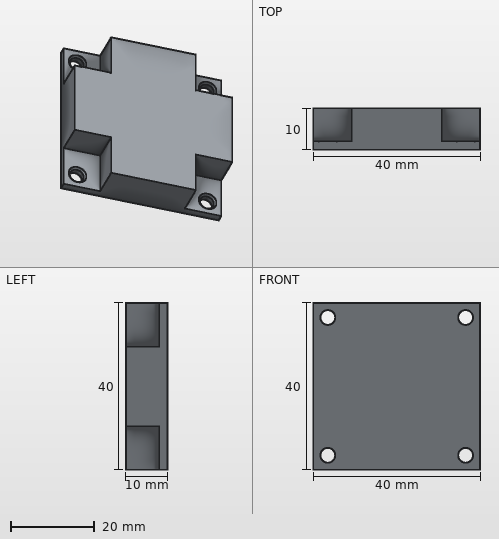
import cadquery as cq

plate_side = 40.0
plate_thickness = 2.0
total_depth = 10.0

upright_width = 21.5
crossbar_height = 19.0

hole_diameter = 3.5
hole_spacing = 33.0
hole_chamfer = 0.5


def block(width, depth, height):
    """Box centred in X and Z, running back from the front face at Y = 0."""
    return cq.Workplane("XY").box(width, depth, height, centered=(True, False, True))


def drilled_plate():
    """Square plate with a chamfered through hole near each corner."""
    plate = (
        block(plate_side, plate_thickness, plate_side)
        .faces(">Y")
        .workplane(centerOption="CenterOfBoundBox")
        .rect(hole_spacing, hole_spacing, forConstruction=True)
        .vertices()
        .hole(hole_diameter)
    )
    return plate.faces(">Y").edges("%CIRCLE").chamfer(hole_chamfer)


upright = block(upright_width, total_depth, plate_side)
crossbar = block(plate_side, total_depth, crossbar_height)

result = drilled_plate().union(upright).union(crossbar)